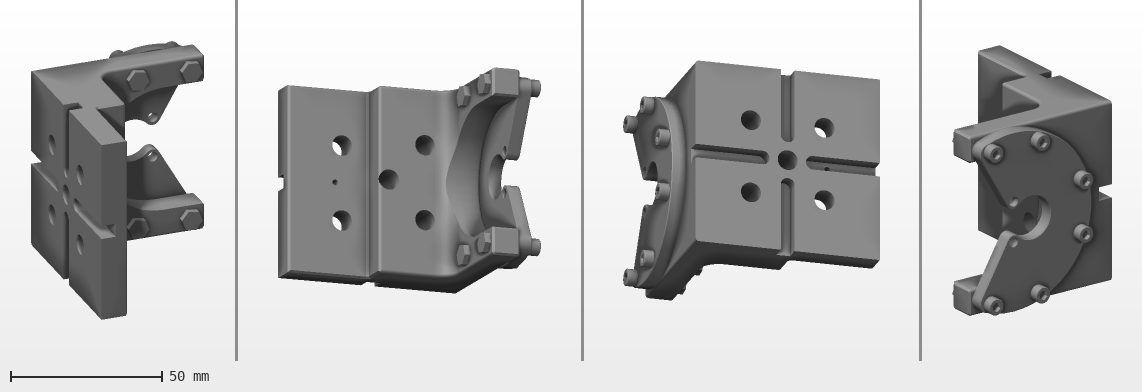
import cadquery as cq
import math


block_size = 63.5
half_height = block_size / 2
bracket_depth = 57.8
wall_thickness = 9.7
step_top = 19.7
riser_x = 35.25
flange_top = 9.4
corner_radius = 6.1
edge_fillet = 1.1
edge_chamfer = 0.7

slot_width = 4.75
slot_depth = 5.2
slot_tip_distance = 6.3
hole_diameter = 6.9
hole_offset = 12.7
pin_hole_diameter = 1.95
pin_hole_offset = 15.15
base_centre_x = block_size / 2

disc_axis_y = 43.1
opening_radius = 22.25

disc_radius = half_height
disc_thickness = 4.7
disc_chamfer = 0.3
tip_fillet = 3.6
keyhole_radius = 7.5
ear_radius = 2.7
ear_hole_diameter = 3.45
ear_z = 7.2
mouth_angle = math.radians(60)

screw_circle_radius = 28.6
screw_half_spread = 19.4
head_diameter = 5.75
head_height = 3.6
head_chamfer = 0.2
socket_diameter = 3.45
socket_depth = 1.8
socket_turn = 21
nut_diameter = 7.45
nut_height = 2.15
nut_turn = -9


def wall_plane(x):
    """Plane at the given X on the disc axis: local x = +Y, local y = +Z, normal = +X."""
    return cq.Workplane(cq.Plane(origin=(x, disc_axis_y, 0), xDir=(0, 1, 0), normal=(1, 0, 0)))


def base_plane():
    """Plane on the base face, at its centre: local x = +X, local y = +Z, normal = -Y."""
    return cq.Workplane("XZ", origin=(base_centre_x, 0, 0))


def z_prism(points):
    """Prism over the full height of the block from an outline in X and Y."""
    return cq.Workplane("XY").polyline(points).close().extrude(half_height, both=True)


def make_block():
    block = z_prism([
        (0, 0),
        (block_size, 0),
        (block_size, flange_top),
        (riser_x, flange_top),
        (riser_x, step_top),
        (wall_thickness, step_top),
        (wall_thickness, bracket_depth),
        (0, bracket_depth),
    ])
    block = block.edges(cq.NearestToPointSelector((wall_thickness, step_top, 0))).fillet(corner_radius)
    block = block.edges(cq.NearestToPointSelector((riser_x, flange_top, 0))).chamfer(edge_chamfer)

    opening = wall_plane(0).circle(opening_radius).extrude(riser_x)
    mouth = wall_plane(0).rect(2 * disc_radius, 2 * opening_radius).extrude(riser_x)
    opening = opening.union(mouth.translate((0, disc_radius, 0)))
    return block.cut(opening)


def edges_through(points):
    """Selector for the edges nearest to the given points on both side faces."""
    selector = None
    for x, y in points:
        for z in (-half_height, half_height):
            nearest = cq.NearestToPointSelector((x, y, z))
            selector = nearest if selector is None else selector + nearest
    return selector


def soften_edges(block):
    riser_edges = edges_through([
        (riser_x, (flange_top + edge_chamfer + step_top) / 2),
        (riser_x + edge_chamfer / 2, flange_top + edge_chamfer / 2),
        ((riser_x + edge_chamfer + block_size) / 2, flange_top),
    ])
    block = block.edges(riser_edges).chamfer(edge_chamfer)

    fillet_end_x = wall_thickness + corner_radius
    fillet_end_y = step_top + corner_radius
    arc_offset = corner_radius * (1 - math.sqrt(0.5))
    inner_edges = edges_through([
        ((fillet_end_x + riser_x) / 2, step_top),
        (wall_thickness + arc_offset, step_top + arc_offset),
        (wall_thickness, (fillet_end_y + bracket_depth) / 2),
    ])
    block = block.edges(inner_edges).fillet(edge_fillet)

    outer_edges = cq.StringSyntaxSelector("(not <Y) and (not >Y)")
    block = block.faces("<X").edges(outer_edges).fillet(edge_fillet)

    block = block.faces(">Y").edges().chamfer(edge_chamfer)

    for x, y in ((riser_x, step_top), (block_size, flange_top)):
        corner = z_prism([(x, y), (x - edge_chamfer, y), (x, y - edge_chamfer)])
        block = block.cut(corner)
    return block


def cut_base_features(block):
    slot_length = block_size
    slot_centre = slot_tip_distance + slot_length / 2
    for angle in (0, 90, 180, 270):
        a = math.radians(angle)
        slot = (
            base_plane()
            .center(slot_centre * math.cos(a), slot_centre * math.sin(a))
            .slot2D(slot_length, slot_width, angle)
            .extrude(-slot_depth)
        )
        block = block.cut(slot)

    square = [(sx * hole_offset, sz * hole_offset) for sx in (-1, 1) for sz in (-1, 1)]
    holes = base_plane().pushPoints([(0, 0)] + square).circle(hole_diameter / 2)
    pin_hole = base_plane().center(pin_hole_offset, 0).circle(pin_hole_diameter / 2)
    block = block.cut(holes.extrude(-bracket_depth))
    return block.cut(pin_hole.extrude(-bracket_depth))


def polar(radius, angle):
    return cq.Vector(radius * math.cos(angle), radius * math.sin(angle))


def above(p):
    return (p.x, p.y)


def below(p):
    return (p.x, -p.y)


def make_disc():
    """Disc with a flared mouth that leads past two rounded ears into a keyhole."""
    ear = cq.Vector(0, ear_z)

    centre_distance = keyhole_radius + ear_radius
    keyhole_offset = -math.sqrt(centre_distance ** 2 - ear_z ** 2)
    neck = ear + cq.Vector(keyhole_offset, -ear_z) * (ear_radius / centre_distance)

    mouth_normal = mouth_angle - math.pi / 2
    mouth_start = ear + polar(ear_radius, mouth_normal)
    mouth_distance = mouth_start.dot(polar(1, mouth_normal))
    rim_angle = mouth_normal + math.acos(mouth_distance / disc_radius)
    rim_point = polar(disc_radius, rim_angle)

    ear_bottom = ear + polar(ear_radius, -math.pi / 2)
    disc = (
        wall_plane(-disc_thickness)
        .moveTo(*below(neck))
        .threePointArc((keyhole_offset - keyhole_radius, 0), above(neck))
        .threePointArc(above(ear_bottom), above(mouth_start))
        .lineTo(*above(rim_point))
        .threePointArc((-disc_radius, 0), below(rim_point))
        .lineTo(*below(mouth_start))
        .threePointArc(below(ear_bottom), below(neck))
        .close()
        .extrude(disc_thickness)
    )
    disc = disc.edges("|X").edges(">Y").fillet(tip_fillet)
    disc = disc.faces("<X").edges().chamfer(disc_chamfer)

    ear_holes = wall_plane(-disc_thickness).pushPoints([(0, ear_z), (0, -ear_z)])
    return disc.cut(ear_holes.circle(ear_hole_diameter / 2).extrude(disc_thickness))


def screw_points():
    """Screw centres around the disc axis: a pair at the top, the far side and the bottom."""
    points = []
    for quadrant in (90, 180, 270):
        for spread in (-screw_half_spread, screw_half_spread):
            p = polar(screw_circle_radius, math.radians(quadrant + spread))
            points.append((p.x, p.y))
    return points


def hexagon(x, y, z, corner_diameter, turn):
    plane = wall_plane(x).center(y, z).transformed(rotate=(0, 0, turn))
    return plane.polygon(6, corner_diameter)


def make_screw_head(y, z):
    head = wall_plane(-disc_thickness).center(y, z).circle(head_diameter / 2).extrude(-head_height)
    head = head.faces("|X").edges().chamfer(head_chamfer)
    socket = hexagon(-disc_thickness - head_height, y, z, socket_diameter, socket_turn)
    return head.cut(socket.extrude(socket_depth))


def make_nut(y, z):
    return hexagon(wall_thickness, y, z, nut_diameter, nut_turn).extrude(nut_height)


result = cut_base_features(soften_edges(make_block())).union(make_disc())
for y, z in screw_points():
    result = result.union(make_screw_head(y, z))
    if disc_axis_y + y > step_top:
        result = result.union(make_nut(y, z))